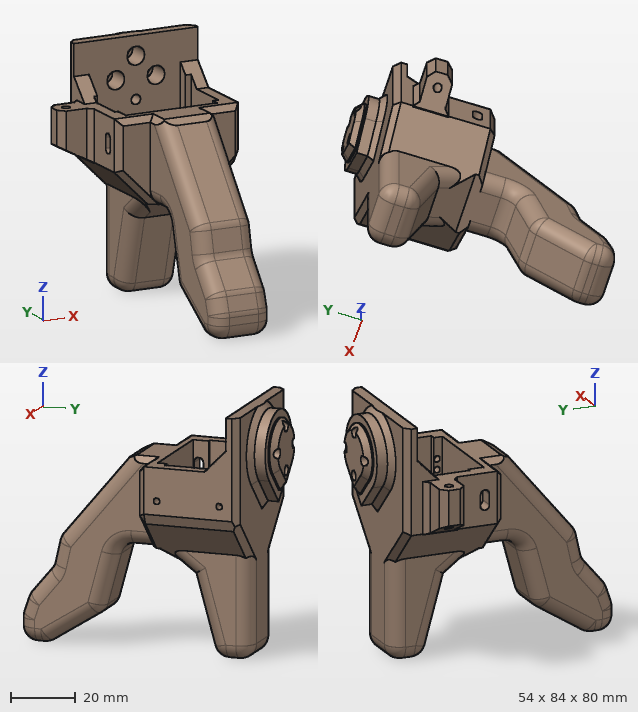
import cadquery as cq
import math


cup_width = 43.05
cup_depth = 33.0
cup_bottom = 33.7
cup_top = 62.3
plate_top = 80.0
plate_thickness = 4.0
edge_chamfer = 2.0
gusset_height = 7.15

pocket_floor = 48.85
pocket_left = -16.3
pocket_right = 15.5
pocket_front = 28.6
recess_half_width = 17.4
left_recess = (9.6, 23.5)
right_recess = (7.4, 25.65)

screw_diameter = 2.0
screw_height = 51.7
screw_forward = (6.2, 26.7)
spare_hole_rise = 3.5
spare_hole_depth = 3.0
slot_width = 3.0

hub_height = 66.4
hub_radius = 12.1
flange_length = 1.9
hub_length = 3.5
spigot_radius = 9.5
spigot_length = 0.5
cone_length = 2.0
hub_reach = flange_length + hub_length + spigot_length + cone_length

hole_circle_radius = 7.0
hub_hole_diameter = 3.2
counterbore_diameter = 6.0
counterbore_depth = 8.0

tab_reach = 32.5
tab_center = 11.7
tab_width = 8.2
tab_flare = 1.7
tab_tip_chamfer = 2.2
tab_tip_bottom = 50.7
tab_root_bottom = 45.0
tab_hole_inset = 4.2
tab_hole_diameter = 2.5

limb_width = 20.0
corner_radius = 5.05
limb_fillet = 5.0
sole_reach = 76.1
limb_root = 29.85
arm_outline = [
    (limb_root, cup_top),
    (40.2, cup_top),
    (63.7, 34.0),
    (65.85, 24.55),
    (73.9, 14.9),
    (sole_reach, 8.5),
    (sole_reach, 0),
    (67.5, 0),
    (49.3, 11.6),
    (43.3, cup_bottom),
    (limb_root, cup_bottom),
]
leg_top = 42.05
leg_sole_length = 12.1
leg_top_length = 23.8
brace_foot = (11.5, 20.2)
brace_head = (36.5, 38.7)

cup_half = cup_width / 2
limb_half = limb_width / 2
flank_start = cup_bottom + cup_half - limb_half
brace_slope = (brace_head[1] - brace_foot[1]) / (brace_head[0] - brace_foot[0])
brace_at_cup = (brace_foot[0] + (cup_bottom - brace_foot[1]) / brace_slope, cup_bottom)


def block(x0, x1, forward0, forward1, z0, z1):
    size = (x1 - x0, forward1 - forward0, z1 - z0)
    return cq.Workplane("XY").box(*size, centered=False).translate((x0, -forward1, z0))


def side_prism(points, width):
    """Prism of a (forward, height) outline, centred on X = 0."""
    outline = [(-forward, height) for forward, height in points]
    return cq.Workplane("YZ").polyline(outline).close().extrude(width / 2, both=True)


def x_hole(diameter, forward, height, start, length):
    """Cylinder along +X from X = start."""
    plane = cq.Workplane("YZ", origin=(start, -forward, height))
    return plane.circle(diameter / 2).extrude(length)


def y_hole(diameter, x, height, start, length):
    """Cylinder along +Y from Y = start."""
    return cq.Workplane("XZ", origin=(x, start, height)).circle(diameter / 2).extrude(-length)


def make_right_corner_cut():
    """Block whose flat face runs the right flank chamfer out to the corner of the front face."""
    flank_chamfer = edge_chamfer * math.sqrt(0.5)
    chamfer_end = edge_chamfer - cup_depth
    upper = cq.Vector(cup_half, chamfer_end, flank_start + edge_chamfer)
    lower = cq.Vector(cup_half - flank_chamfer, chamfer_end, flank_start - flank_chamfer)
    half_bend = math.radians(45 / 2)
    front_rise = edge_chamfer * math.tan(half_bend)
    front = cq.Vector(cup_half - edge_chamfer, -cup_depth, flank_start + front_rise)
    outward = (front - upper).cross(lower - upper)
    plane = cq.Plane(origin=upper, xDir=lower - upper, normal=outward)
    return cq.Workplane(plane).rect(cup_depth, cup_depth).extrude(cup_depth)


def make_cup():
    outline = [
        (-cup_half, cup_top),
        (-cup_half, flank_start),
        (0, flank_start - cup_half),
        (cup_half, flank_start),
        (cup_half, cup_top),
    ]
    body = cq.Workplane("XZ").polyline(outline).close().extrude(cup_depth)
    body = body.faces("<Y").edges().chamfer(edge_chamfer)
    body = body.faces(">Y").edges("not |X").chamfer(edge_chamfer)
    right_flank_edge = (cup_half, -cup_depth / 2, flank_start)
    body = body.edges(cq.selectors.NearestToPointSelector(right_flank_edge)).chamfer(edge_chamfer)
    body = body.cut(make_right_corner_cut())
    under_side = [
        brace_foot,
        brace_at_cup,
        (cup_depth, cup_bottom),
        (cup_depth, brace_foot[1]),
    ]
    body = body.cut(side_prism(under_side, cup_width))
    plate = block(-cup_half, cup_half, 0, plate_thickness, flank_start + edge_chamfer, plate_top)
    plate = plate.edges("|Z and >Y").chamfer(edge_chamfer)
    gusset = side_prism(
        [
            (plate_thickness, cup_top),
            (plate_thickness, cup_top + gusset_height),
            (plate_thickness + gusset_height, cup_top),
        ],
        cup_width,
    )
    return body.union(plate).union(gusset)


def make_pocket():
    pocket = block(pocket_left, pocket_right, plate_thickness, pocket_front, pocket_floor, plate_top)
    left = block(-recess_half_width, 0, *left_recess, pocket_floor, plate_top)
    right = block(0, recess_half_width, *right_recess, pocket_floor, plate_top)
    return pocket.union(left).union(right)


def make_screw_holes():
    rear_forward, front_forward = screw_forward
    rear = x_hole(screw_diameter, rear_forward, screw_height, 0, cup_width)
    front = x_hole(screw_diameter, front_forward, screw_height, 0, cup_width)
    spare_height = screw_height + spare_hole_rise
    spare = x_hole(screw_diameter, front_forward, spare_height, 0, pocket_right + spare_hole_depth)
    slot_center = (0, -front_forward, screw_height + spare_hole_rise / 2)
    slot = cq.Workplane("YZ", origin=slot_center)
    slot = slot.slot2D(spare_hole_rise + slot_width, slot_width, 90).extrude(-cup_width)
    return rear.union(front).union(spare).union(slot)


def teardrop(radius, start):
    """Circle with a 45 degree point at the bottom, in the plane Y = start."""
    tangent = radius * math.sqrt(0.5)
    plane = cq.Workplane("XZ", origin=(0, start, hub_height))
    outline = plane.moveTo(tangent, -tangent).threePointArc((0, radius), (-tangent, -tangent))
    return outline.lineTo(0, -radius * math.sqrt(2)).close()


def teardrop_cone(base_radius, start, length):
    """Teardrop whose sides lean in at 45 degrees over the given length."""
    base = teardrop(base_radius, start).wires().val()
    end = teardrop(base_radius - length, start + length).wires().val()
    return cq.Workplane(cq.Solid.makeLoft([base, end], True))


def make_hub():
    hub_start = flange_length
    spigot_start = hub_start + hub_length
    cone_start = spigot_start + spigot_length
    flange = teardrop_cone(hub_radius + flange_length, 0, flange_length)
    hub = teardrop(hub_radius, hub_start).extrude(-hub_length)
    spigot = teardrop(spigot_radius, spigot_start).extrude(-spigot_length)
    cone = teardrop_cone(spigot_radius, cone_start, cone_length)
    below_plate_top = block(-cup_half, cup_half, -hub_reach, 0, 0, plate_top)
    return flange.intersect(below_plate_top).union(hub).union(spigot).union(cone)


def make_hub_holes():
    length = plate_thickness + hub_reach
    holes = cq.Workplane("XY")
    bottom_angle = 270
    for angle in (0, 90, 180, bottom_angle):
        x = hole_circle_radius * math.cos(math.radians(angle))
        height = hub_height + hole_circle_radius * math.sin(math.radians(angle))
        holes = holes.union(y_hole(hub_hole_diameter, x, height, -plate_thickness, length))
        if angle != bottom_angle:
            bore = y_hole(counterbore_diameter, x, height, -plate_thickness, counterbore_depth)
            holes = holes.union(bore)
    return holes


def make_tab():
    half = tab_width / 2
    tip_half = half - tab_tip_chamfer
    inside = -recess_half_width
    half_outline = [
        (inside, half + tab_flare),
        (-cup_half, half + tab_flare),
        (-cup_half - tab_flare, half),
        (tab_tip_chamfer - tab_reach, half),
        (-tab_reach, tip_half),
    ]
    mirrored = [(x, -y) for x, y in reversed(half_outline)]
    tab = cq.Workplane("XY").polyline(half_outline + mirrored).close().extrude(cup_top)
    profile = [
        (inside, cup_top),
        (-tab_reach, cup_top),
        (-tab_reach, tab_tip_bottom),
        (-cup_half, tab_root_bottom),
        (inside, tab_root_bottom),
    ]
    tab = tab.intersect(cq.Workplane("XZ").polyline(profile).close().extrude(tab_width, both=True))
    hole = cq.Workplane("XY").center(tab_hole_inset - tab_reach, 0)
    hole = hole.circle(tab_hole_diameter / 2).extrude(cup_top)
    return tab.cut(hole).translate((0, -tab_center, 0))


def trim_arm_top(arm):
    """Cut flat chamfers along the sides and the front end of the arm's top face."""
    (end, top), (slope_end, slope_height) = arm_outline[1:3]
    slope = math.atan2(top - slope_height, slope_end - end)
    facet_end = (end + edge_chamfer * math.cos(slope), top - edge_chamfer * math.sin(slope))
    arm = arm.cut(side_prism([(end - edge_chamfer, top), (end, top), facet_end], limb_width))
    section = cq.Workplane("XZ").rect(limb_width, 2 * top).extrude(sole_reach)
    return arm.intersect(section.edges("|Y and >Z").chamfer(edge_chamfer))


def make_arm():
    arm = side_prism(arm_outline, limb_width)
    free_edges = "not (>Z or >Y)"
    arm = arm.edges("|X").edges(free_edges).fillet(corner_radius)
    arm = arm.faces("<X or >X").edges(free_edges).fillet(limb_fillet)
    return trim_arm_top(arm)


def make_leg():
    leg = side_prism([(0, 0), (leg_sole_length, 0), (leg_top_length, leg_top), (0, leg_top)], limb_width)
    leg = leg.edges("|X and <Z").fillet(corner_radius)
    leg = leg.faces("<X or >X").edges("not >Z").fillet(limb_fillet)
    brace = side_prism([brace_foot, brace_head, (brace_foot[0], brace_head[1])], limb_width)
    brace = brace.edges("not (|X or |Y or |Z)").fillet(limb_fillet)
    return leg.union(brace)


result = (
    make_cup()
    .union(make_tab())
    .union(make_hub())
    .union(make_arm())
    .union(make_leg())
    .cut(make_pocket())
    .cut(make_screw_holes())
    .cut(make_hub_holes())
)